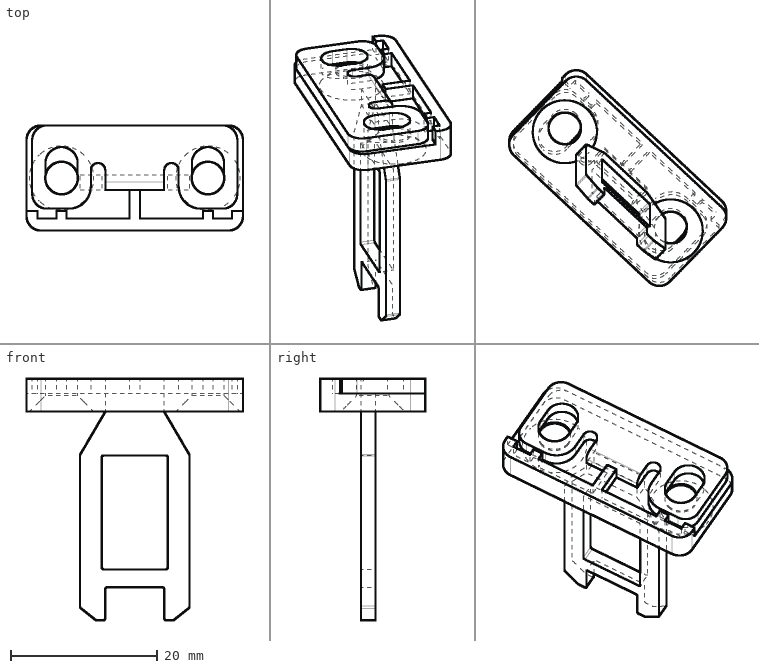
import cadquery as cq


TOTAL_HEIGHT = 33.0
BASE_WIDTH = 29.6
BASE_DEPTH = 14.4
BASE_HEIGHT = 4.5
SHEET = 2.0
CORNER_RADIUS = 2.0

HOLE_X = 10.0
HOLE_Y = 7.2
HOLE_DIAMETER = 4.42
HOLE_LAND = 0.3
COUNTERSINK_SLOPE = 1.0
SLOT_TRAVEL = 2.0

WALL = 1.68
LUG_REACH = 1.02
CORNER_LUG_WIDTH = 1.52
MID_LUG_WIDTH = 1.4
RIB_WIDTH = 1.45

FLANGE_WIDTH = 28.02
FLANGE_FRONT_Y = 3.0
TAB_WIDTH = 8.05
RELIEF_WIDTH = 1.98
RELIEF_END_Y = 9.25
RELIEF_CORNER_RADIUS = 3.0
BEND_RADIUS = 1.05

BLADE_FRONT_Y = 5.58
BLADE_WIDTH = 15.0
SHOULDER_DROP = 5.95
OUTER_CORNER_RADIUS = 0.4
WINDOW_WIDTH = 9.0
WINDOW_HEIGHT = 15.55
WINDOW_BOTTOM_Z = 6.95
NOTCH_DEPTH = 4.5
TIP_CHAMFER_WIDTH = 2.2
TIP_CHAMFER_HEIGHT = 1.75
SMALL_RADIUS = 0.25

BASE_BOTTOM_Z = TOTAL_HEIGHT - BASE_HEIGHT
FLOOR_Z = TOTAL_HEIGHT - SHEET
FLOOR_THICKNESS = BASE_HEIGHT - SHEET
BLADE_BACK_Y = BLADE_FRONT_Y + SHEET
SHOULDER_Z = BASE_BOTTOM_Z - SHOULDER_DROP


def block(x_center, width, y_front, y_back, z_bottom, z_top):
    """Box centred on x_center that spans the given Y and Z ranges."""
    size = (width, y_back - y_front, z_top - z_bottom)
    box = cq.Workplane().box(*size, centered=(True, False, False))
    return box.translate((x_center, y_front, z_bottom))


def make_recess():
    """Space above the housing floor, behind the front wall and around its lugs and rib."""
    recess = block(0, BASE_WIDTH, WALL, BASE_DEPTH, FLOOR_Z, TOTAL_HEIGHT)
    corner_lug_x = (BASE_WIDTH - CORNER_LUG_WIDTH) / 2
    lug_back_y = WALL + LUG_REACH
    for side in (-1, 1):
        for x, width in ((corner_lug_x, CORNER_LUG_WIDTH), (HOLE_X, MID_LUG_WIDTH)):
            recess = recess.cut(block(side * x, width, WALL, lug_back_y, FLOOR_Z, TOTAL_HEIGHT))
    rib = block(0, RIB_WIDTH, WALL, BLADE_FRONT_Y, FLOOR_Z, TOTAL_HEIGHT)
    return recess.cut(rib)


def make_screw_hole(x):
    """Hole through the housing floor, countersunk from below."""
    hole_radius = HOLE_DIAMETER / 2
    countersink_depth = FLOOR_THICKNESS - HOLE_LAND
    countersink_radius = hole_radius + COUNTERSINK_SLOPE * countersink_depth
    countersink_top_z = BASE_BOTTOM_Z + countersink_depth
    profile = (
        cq.Workplane("XZ")
        .moveTo(0, BASE_BOTTOM_Z)
        .lineTo(countersink_radius, BASE_BOTTOM_Z)
        .lineTo(hole_radius, countersink_top_z)
        .lineTo(hole_radius, FLOOR_Z)
        .lineTo(0, FLOOR_Z)
        .close()
    )
    return profile.revolve(360, (0, 0, 0), (0, 1, 0)).translate((x, HOLE_Y, 0))


def make_housing():
    """Rounded block that holds the key flange in its recess."""
    housing = block(0, BASE_WIDTH, 0, BASE_DEPTH, BASE_BOTTOM_Z, TOTAL_HEIGHT)
    housing = housing.edges("|Z").fillet(CORNER_RADIUS)
    housing = housing.cut(make_recess())

    blade_opening = block(0, TAB_WIDTH, BLADE_FRONT_Y, BLADE_BACK_Y, BASE_BOTTOM_Z, FLOOR_Z)
    housing = housing.cut(blade_opening)

    for x in (-HOLE_X, HOLE_X):
        housing = housing.cut(make_screw_hole(x))
    return housing


def make_relief(side):
    """Round-ended cut beside the tab, from the flange front edge."""
    relief_x = side * (TAB_WIDTH + RELIEF_WIDTH) / 2
    round_y = RELIEF_END_Y - RELIEF_WIDTH / 2
    straight = block(relief_x, RELIEF_WIDTH, FLANGE_FRONT_Y, round_y, FLOOR_Z, TOTAL_HEIGHT)
    round_end = cq.Workplane(origin=(relief_x, round_y, FLOOR_Z)).circle(RELIEF_WIDTH / 2).extrude(SHEET)
    return straight.union(round_end)


def make_flange():
    """Flat top of the key, with a central tab between two reliefs and a slot at each end."""
    flange = block(0, FLANGE_WIDTH, FLANGE_FRONT_Y, BASE_DEPTH, FLOOR_Z, TOTAL_HEIGHT)
    flange = flange.edges("|Z").fillet(CORNER_RADIUS)

    tab_clearance = block(0, TAB_WIDTH, FLANGE_FRONT_Y, BLADE_FRONT_Y, FLOOR_Z, TOTAL_HEIGHT)
    flange = flange.cut(tab_clearance)
    for side in (-1, 1):
        flange = flange.cut(make_relief(side))

    relief_corner_x = TAB_WIDTH / 2 + RELIEF_WIDTH
    for side in (-1, 1):
        corner = cq.selectors.NearestToPointSelector(
            (side * relief_corner_x, FLANGE_FRONT_Y, FLOOR_Z + SHEET / 2)
        )
        flange = flange.edges(corner).fillet(RELIEF_CORNER_RADIUS)

    slots = (
        cq.Workplane(origin=(0, HOLE_Y + SLOT_TRAVEL / 2, FLOOR_Z))
        .pushPoints([(-HOLE_X, 0), (HOLE_X, 0)])
        .slot2D(SLOT_TRAVEL + HOLE_DIAMETER, HOLE_DIAMETER, 90)
        .extrude(SHEET)
    )
    return flange.cut(slots)


def round_corners(solid, points, radius):
    """Fillet the edges along Y that pass through the given XZ points."""
    middle_y = (BLADE_FRONT_Y + BLADE_BACK_Y) / 2
    for x, z in points:
        edge = cq.selectors.NearestToPointSelector((x, middle_y, z))
        solid = solid.edges(edge).fillet(radius)
    return solid


def make_blade():
    """Upright part of the key: sloped shoulders, a window and two prongs at the lower end."""
    half_width = BLADE_WIDTH / 2
    half_tab = TAB_WIDTH / 2
    half_tip = half_width - TIP_CHAMFER_WIDTH
    right_side = [
        (half_tab, FLOOR_Z),
        (half_tab, BASE_BOTTOM_Z),
        (half_width, SHOULDER_Z),
        (half_width, TIP_CHAMFER_HEIGHT),
        (half_tip, 0),
        (half_tab, 0),
        (half_tab, NOTCH_DEPTH),
    ]
    left_side = [(-x, z) for x, z in reversed(right_side)]
    blade = (
        cq.Workplane("XZ", origin=(0, BLADE_BACK_Y, 0))
        .polyline(right_side + left_side)
        .close()
        .extrude(SHEET)
    )

    outer_corners = [(half_width, SHOULDER_Z), (half_width, TIP_CHAMFER_HEIGHT)]
    prong_corners = [(half_tip, 0), (half_tab, 0), (half_tab, NOTCH_DEPTH)]
    for corners, radius in ((outer_corners, OUTER_CORNER_RADIUS), (prong_corners, SMALL_RADIUS)):
        mirrored = [(-x, z) for x, z in corners]
        blade = round_corners(blade, corners + mirrored, radius)

    window_top_z = WINDOW_BOTTOM_Z + WINDOW_HEIGHT
    window = block(0, WINDOW_WIDTH, BLADE_FRONT_Y, BLADE_BACK_Y, WINDOW_BOTTOM_Z, window_top_z)
    window = window.edges("|Y").fillet(SMALL_RADIUS)
    return blade.cut(window)


def make_key():
    """Bent sheet-metal key: flange and blade in one piece, rounded along the bend."""
    key = make_flange().union(make_blade())
    bend = cq.selectors.NearestToPointSelector((0, BLADE_FRONT_Y, TOTAL_HEIGHT))
    return key.edges(bend).fillet(BEND_RADIUS)


housing = make_housing()
key = make_key()

result = cq.Compound.makeCompound([housing.val(), key.val()])